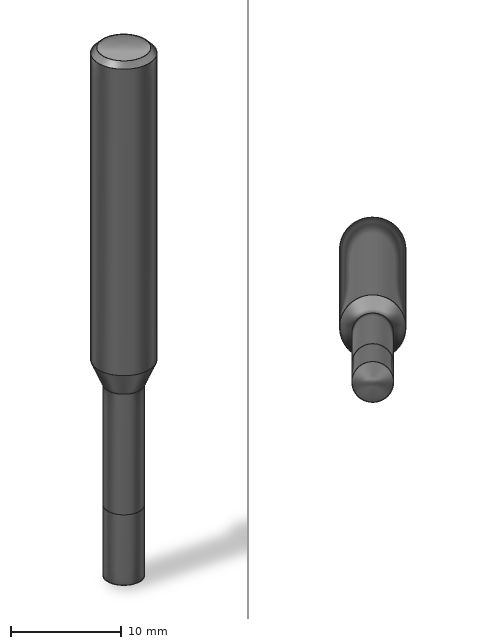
import cadquery as cq

total_length = 55.6
shank_diameter = 6.0
neck_diameter = 3.8
cutter_diameter = neck_diameter

point_height = 0.65
cutter_top = 8.0
taper_bottom = 20.55
taper_top = 23.1
shank_chamfer = 0.55


def revolve_profile(points):
    """Turn a closed (radius, height) outline about the Z axis."""
    return cq.Workplane("XZ").polyline(points).close().revolve(360, (0, 0), (0, 1))


def make_cutter():
    """Cylindrical cutting head with a shallow conical point."""
    radius = cutter_diameter / 2
    return revolve_profile([
        (0, 0),
        (radius, point_height),
        (radius, cutter_top),
        (0, cutter_top),
    ])


def make_shank():
    """Neck, taper and chamfered shank, seated on the flat top of the cutter."""
    neck_radius = neck_diameter / 2
    shank_radius = shank_diameter / 2
    return revolve_profile([
        (0, cutter_top),
        (neck_radius, cutter_top),
        (neck_radius, taper_bottom),
        (shank_radius, taper_top),
        (shank_radius, total_length - shank_chamfer),
        (shank_radius - shank_chamfer, total_length),
        (0, total_length),
    ])


cutter = make_cutter()
shank = make_shank()

result = cq.Compound.makeCompound([cutter.val(), shank.val()])